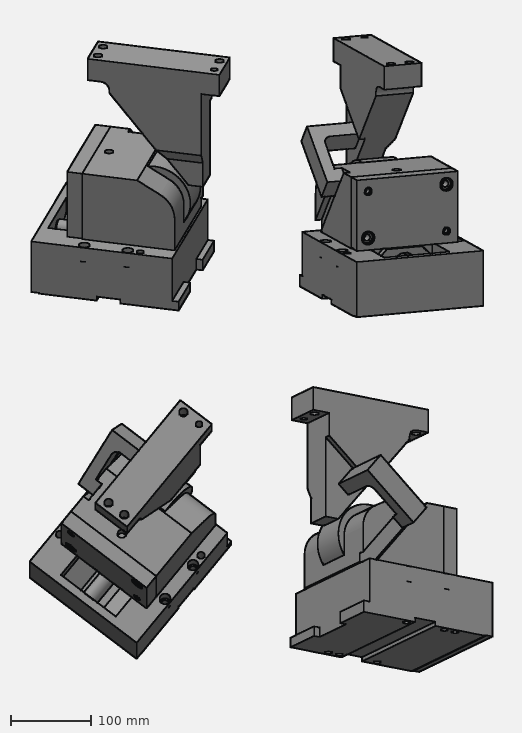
import cadquery as cq
import math

MID_Y = 84.97

BASE_LENGTH = 181.8
BASE_WIDTH = 2 * MID_Y
BASE_HEIGHT = 71.5
HEEL_RELIEF_LENGTH = 10.0
HEEL_RELIEF_HEIGHT = 1.0
KEYWAY_START = 84.5
KEYWAY_WIDTH = 30.0
KEYWAY_DEPTH = 5.5
LEDGE_LENGTH = 8.2
LEDGE_WIDTH = 54.7
LEDGE_NEAR_HEIGHT = 12.5
LEDGE_FAR_HEIGHT = 15.0

POCKET_START = 10.5
POCKET_END = 170.2
POCKET_WIDTH = 87.0
POCKET_FLOOR_WIDTH = 36.5
V_TOP_Z = 52.0
V_ANGLE = 33.0
V_FLOOR_Z = V_TOP_Z - (POCKET_WIDTH - POCKET_FLOOR_WIDTH) / 2 * math.tan(math.radians(V_ANGLE))

BASE_HOLE_INSET = 7.5
BASE_BOLT_X = (66.5, 122.5)
BASE_DOWEL_NEAR_X = 138.5
BASE_DOWEL_FAR_X = 50.8
BASE_BOLT_DIAMETER = 9.0
BASE_COUNTERBORE_DIAMETER = 13.7
BASE_COUNTERBORE_DEPTH = 20.0
BASE_DOWEL_DIAMETER = 9.0

SLIDE_START = 61.0
SLIDE_END = 180.3
SLIDE_WIDTH = 135.3
SLIDE_NEAR_Y = MID_Y - SLIDE_WIDTH / 2
SLIDE_FAR_Y = MID_Y + SLIDE_WIDTH / 2
SLIDE_BOTTOM = 74.2
SLIDE_TOP = 165.5
SLOPE_START = 132.0
SLOPE_ANGLE = 28.5
SHOULDER_RADIUS = 35.5
NECK_END = 169.0
NECK_WIDTH = 81.8
FOOT_START = 51.0
ROD_CLEARANCE_DIAMETER = 28.5
LUBE_HOLE_X = 77.5
LUBE_HOLE_DIAMETER = 10.5
LUBE_HOLE_DEPTH = 15.2

NOSE_RADIUS = 46.0
NOSE_X = 143.0
NOSE_Z = 119.2
NOSE_WIDTH = 48.0

ROD_RADIUS = 10.8
ROD_Z = 51.0
ROD_CHAMFER = 1.8
ROD_END = 106.5

PLATE_START = 41.5
PLATE_BOTTOM = 75.0
PLATE_HOLE_PITCH_Y = 105.0
PLATE_HOLE_LOW_Z = 90.3
PLATE_HOLE_HIGH_Z = 150.0
PLATE_MOUTH_DIAMETER = 16.7
PLATE_MOUTH_DEPTH = 1.8
PLATE_COUNTERBORE_DIAMETER = 14.3
PLATE_COUNTERBORE_DEPTH = 4.5
PLATE_BOLT_DIAMETER = 8.5
PLATE_DOWEL_DIAMETER = 9.7
PLATE_DOWEL_DEPTH = 3.0
PILOT_DIAMETER = 6.0
PILOT_DEPTH = 12.2
PILOT_TIP_ANGLE = 59.0

DRIVER_TOP = 304.0
DRIVER_START = 56.5
DRIVER_END = 226.5
DRIVER_WIDTH = 50.2
DRIVER_NEAR_Y = MID_Y - DRIVER_WIDTH / 2
DRIVER_FAR_Y = MID_Y + DRIVER_WIDTH / 2
FLANGE_BOTTOM = 274.2
WEB_START = 84.5
WEB_END = 203.0
DRIVER_BOTTOM = 141.0
WEB_FILLET = 10.5
TIP_WIDTH = 34.0
TIP_NEAR_Y = MID_Y - TIP_WIDTH / 2
TIP_FAR_Y = MID_Y + TIP_WIDTH / 2
TIP_TAPER_TOP = 188.5
TIP_TAPER_BOTTOM = 174.2
FLANGE_HOLE_NEAR_Y = 72.5
FLANGE_HOLE_FAR_Y = 97.3
FLANGE_HOLE_LEFT_X = 66.5
FLANGE_HOLE_RIGHT_X = 216.5
FLANGE_BOLT_DIAMETER = 10.5
FLANGE_DOWEL_DIAMETER = 8.2

DRIVE_ANGLE = 50.0
HOOK_X = 165.5
HOOK_Z = 209.5
HOOK_THICKNESS = 30.0
HOOK_LENGTH = 88.5
HOOK_BAR_DEPTH = 18.5
HOOK_ARM_NEAR_Y = 154.0
HOOK_LIP_NEAR_Y = 144.5
HOOK_LIP_LENGTH = 19.8
HOOK_FILLET = 10.0
HOOK_SEAT_CLEARANCE = 2.7
HOOK_END_CLEARANCE = 1.2
HOOK_SLOT_CLEARANCE = 0.5

CUT_LENGTH = 608.0

DRIVE_COS = math.cos(math.radians(DRIVE_ANGLE))
DRIVE_SIN = math.sin(math.radians(DRIVE_ANGLE))


def box(x0, x1, y0, y1, z0, z1):
    """Block between two opposite corners."""
    return cq.Workplane("XY").box(x1 - x0, y1 - y0, z1 - z0, centered=False).translate((x0, y0, z0))


def side_profile(points, y0, y1):
    """Outline in X and Z, extruded across Y."""
    return cq.Workplane("XZ").polyline(points).close().extrude(y0 - y1).translate((0, y0, 0))


def drill(x, y, z_top, diameter, depth):
    """Downward drill body."""
    return cq.Workplane("XY", origin=(x, y, z_top)).circle(diameter / 2).extrude(-depth)


def bore(x, y, z, diameter, depth):
    """Drill body that runs along +X."""
    return cq.Workplane("YZ", origin=(x, y, z)).circle(diameter / 2).extrude(depth)


def hook_plane(drop):
    """Plane square to the drive direction; its x runs down the hook arm and its y along Y."""
    return cq.Plane(
        origin=(HOOK_X + drop * DRIVE_COS, 0, HOOK_Z - drop * DRIVE_SIN),
        xDir=(-DRIVE_SIN, 0, -DRIVE_COS),
        normal=(DRIVE_COS, 0, -DRIVE_SIN),
    )


def guide_profile(x0, x1, width, top_z):
    """Straight-sided rail with a V underneath, extruded along X."""
    half = width / 2
    floor_half = POCKET_FLOOR_WIDTH / 2
    shoulder_z = V_FLOOR_Z + (half - floor_half) * math.tan(math.radians(V_ANGLE))
    return (
        cq.Workplane("YZ", origin=(x0, MID_Y, 0))
        .moveTo(-half, top_z)
        .lineTo(-half, shoulder_z)
        .lineTo(-floor_half, V_FLOOR_Z)
        .lineTo(floor_half, V_FLOOR_Z)
        .lineTo(half, shoulder_z)
        .lineTo(half, top_z)
        .close()
        .extrude(x1 - x0)
    )


def foot_tip():
    """Hexagonal end of the slide foot that reaches under the face plate."""
    half = POCKET_WIDTH / 2
    floor_half = POCKET_FLOOR_WIDTH / 2
    roof_half = half - (BASE_HEIGHT - V_TOP_Z)
    lower = [(-half, V_TOP_Z), (-floor_half, V_FLOOR_Z), (floor_half, V_FLOOR_Z), (half, V_TOP_Z)]
    upper = [(roof_half, BASE_HEIGHT), (-roof_half, BASE_HEIGHT)]
    length = SLIDE_START - FOOT_START
    tip = cq.Workplane("YZ", origin=(FOOT_START, MID_Y, 0)).polyline(lower + upper).close().extrude(length)
    return tip.cut(bore(FOOT_START, MID_Y, ROD_Z, ROD_CLEARANCE_DIAMETER, length))


def make_rod():
    rod = bore(POCKET_START, MID_Y, ROD_Z, 2 * ROD_RADIUS, ROD_END - POCKET_START)
    return rod.faces("<X").chamfer(ROD_CHAMFER)


def make_base():
    base = box(0, BASE_LENGTH, 0, BASE_WIDTH, 0, BASE_HEIGHT)
    ledge_end = BASE_LENGTH + LEDGE_LENGTH
    far_ledge_y = BASE_WIDTH - LEDGE_WIDTH
    base = base.union(box(BASE_LENGTH, ledge_end, 0, LEDGE_WIDTH, 0, LEDGE_NEAR_HEIGHT))
    base = base.union(box(BASE_LENGTH, ledge_end, far_ledge_y, BASE_WIDTH, 0, LEDGE_FAR_HEIGHT))
    base = base.cut(box(0, HEEL_RELIEF_LENGTH, 0, BASE_WIDTH, 0, HEEL_RELIEF_HEIGHT))
    base = base.cut(box(KEYWAY_START, KEYWAY_START + KEYWAY_WIDTH, 0, BASE_WIDTH, 0, KEYWAY_DEPTH))
    base = base.cut(guide_profile(POCKET_START, POCKET_END, POCKET_WIDTH, BASE_HEIGHT))

    near_y = BASE_HOLE_INSET
    far_y = BASE_WIDTH - BASE_HOLE_INSET
    for y in (near_y, far_y):
        for x in BASE_BOLT_X:
            base = base.cut(drill(x, y, BASE_HEIGHT, BASE_BOLT_DIAMETER, BASE_HEIGHT))
            base = base.cut(drill(x, y, BASE_HEIGHT, BASE_COUNTERBORE_DIAMETER, BASE_COUNTERBORE_DEPTH))
    for x, y in ((BASE_DOWEL_NEAR_X, near_y), (BASE_DOWEL_FAR_X, far_y)):
        base = base.cut(drill(x, y, BASE_HEIGHT, BASE_DOWEL_DIAMETER, BASE_HEIGHT))
    return base


def slide_block():
    """Block whose top slopes down into a rounded shoulder."""
    slope = math.radians(SLOPE_ANGLE)
    arc_x = SLIDE_END - SHOULDER_RADIUS
    slope_end_x = arc_x + SHOULDER_RADIUS * math.sin(slope)
    slope_end_z = SLIDE_TOP - (slope_end_x - SLOPE_START) * math.tan(slope)
    arc_z = slope_end_z - SHOULDER_RADIUS * math.cos(slope)
    mid_angle = (math.pi / 2 - slope) / 2
    arc_mid = (arc_x + SHOULDER_RADIUS * math.cos(mid_angle), arc_z + SHOULDER_RADIUS * math.sin(mid_angle))
    return (
        cq.Workplane("XZ", origin=(0, SLIDE_NEAR_Y, 0))
        .moveTo(SLIDE_START, SLIDE_BOTTOM)
        .lineTo(SLIDE_START, SLIDE_TOP)
        .lineTo(SLOPE_START, SLIDE_TOP)
        .lineTo(slope_end_x, slope_end_z)
        .threePointArc(arc_mid, (SLIDE_END, arc_z))
        .lineTo(SLIDE_END, SLIDE_BOTTOM)
        .close()
        .extrude(-SLIDE_WIDTH)
    )


def hook_slot():
    """Slot for the hook lip, parallel to the drive direction."""
    return (
        cq.Workplane(hook_plane(-CUT_LENGTH / 2))
        .moveTo(HOOK_LENGTH - HOOK_LIP_LENGTH, HOOK_LIP_NEAR_Y)
        .lineTo(HOOK_LENGTH + HOOK_SLOT_CLEARANCE, HOOK_LIP_NEAR_Y)
        .lineTo(HOOK_LENGTH + HOOK_SLOT_CLEARANCE, SLIDE_FAR_Y)
        .lineTo(HOOK_LENGTH - HOOK_LIP_LENGTH, SLIDE_FAR_Y)
        .close()
        .extrude(CUT_LENGTH)
    )


def plate_hole_places():
    """Y and Z of the bolt holes and of the dowel holes, on opposite diagonals."""
    near_y = MID_Y - PLATE_HOLE_PITCH_Y / 2
    far_y = MID_Y + PLATE_HOLE_PITCH_Y / 2
    bolts = ((near_y, PLATE_HOLE_HIGH_Z), (far_y, PLATE_HOLE_LOW_Z))
    dowels = ((near_y, PLATE_HOLE_LOW_Z), (far_y, PLATE_HOLE_HIGH_Z))
    return bolts, dowels


def make_slide(rod):
    slide = slide_block()
    nose = (
        cq.Workplane("XZ", origin=(NOSE_X, MID_Y, NOSE_Z))
        .circle(NOSE_RADIUS)
        .extrude(NOSE_WIDTH / 2, both=True)
    )
    slide = slide.cut(hook_slot()).union(nose)
    slide = slide.union(guide_profile(SLIDE_START, NECK_END, NECK_WIDTH, SLIDE_BOTTOM))
    slide = slide.union(foot_tip())
    slide = slide.cut(drill(LUBE_HOLE_X, MID_Y, SLIDE_TOP, LUBE_HOLE_DIAMETER, LUBE_HOLE_DEPTH))
    return slide.cut(rod)


def pilot_tip(y, z):
    """Conical bottom of a pilot hole."""
    radius = PILOT_DIAMETER / 2
    height = radius / math.tan(math.radians(PILOT_TIP_ANGLE))
    start = cq.Vector(PLATE_START + PILOT_DEPTH, y, z)
    return cq.Workplane(cq.Solid.makeCone(radius, 0, height, start, cq.Vector(1, 0, 0)))


def make_face_plate():
    plate = box(PLATE_START, SLIDE_START, SLIDE_NEAR_Y, SLIDE_FAR_Y, PLATE_BOTTOM, SLIDE_TOP)
    thickness = SLIDE_START - PLATE_START
    bolts, dowels = plate_hole_places()
    for y, z in bolts:
        plate = plate.cut(bore(PLATE_START, y, z, PLATE_BOLT_DIAMETER, thickness))
        plate = plate.cut(bore(PLATE_START, y, z, PLATE_COUNTERBORE_DIAMETER, PLATE_COUNTERBORE_DEPTH))
        plate = plate.cut(bore(PLATE_START, y, z, PLATE_MOUTH_DIAMETER, PLATE_MOUTH_DEPTH))
    for y, z in dowels:
        plate = plate.cut(bore(PLATE_START, y, z, PLATE_DOWEL_DIAMETER, PLATE_DOWEL_DEPTH))
        plate = plate.cut(bore(PLATE_START, y, z, PILOT_DIAMETER, PILOT_DEPTH)).cut(pilot_tip(y, z))
    return plate


def drive_face_x(z):
    """X of the driving face at a height; the face is tangent to the slide nose."""
    tangent_x = NOSE_X + NOSE_RADIUS * DRIVE_SIN
    tangent_z = NOSE_Z + NOSE_RADIUS * DRIVE_COS
    return tangent_x - (z - tangent_z) * DRIVE_COS / DRIVE_SIN


def make_driver():
    drive_top_z = DRIVER_BOTTOM + (drive_face_x(DRIVER_BOTTOM) - WEB_START) * DRIVE_SIN / DRIVE_COS
    web = [
        (WEB_START, FLANGE_BOTTOM),
        (WEB_START, drive_top_z),
        (drive_face_x(DRIVER_BOTTOM), DRIVER_BOTTOM),
        (WEB_END, DRIVER_BOTTOM),
        (WEB_END, FLANGE_BOTTOM),
    ]
    flange = [
        (DRIVER_END, FLANGE_BOTTOM),
        (DRIVER_END, DRIVER_TOP),
        (DRIVER_START, DRIVER_TOP),
        (DRIVER_START, FLANGE_BOTTOM),
    ]
    driver = side_profile(web + flange, DRIVER_NEAR_Y, DRIVER_FAR_Y)
    corner = cq.selectors.NearestToPointSelector((WEB_START, MID_Y, FLANGE_BOTTOM))
    driver = driver.edges(corner).fillet(WEB_FILLET)

    near_relief = (
        cq.Workplane("YZ")
        .moveTo(DRIVER_NEAR_Y, TIP_TAPER_TOP)
        .lineTo(TIP_NEAR_Y, TIP_TAPER_BOTTOM)
        .lineTo(TIP_NEAR_Y, DRIVER_BOTTOM)
        .lineTo(DRIVER_NEAR_Y, DRIVER_BOTTOM)
        .close()
        .extrude(CUT_LENGTH)
    )
    hook_seat = (
        cq.Workplane(hook_plane(-HOOK_SEAT_CLEARANCE))
        .rect(CUT_LENGTH, 2 * (DRIVER_FAR_Y - TIP_FAR_Y))
        .extrude(CUT_LENGTH)
        .translate((0, DRIVER_FAR_Y, 0))
    )
    driver = driver.cut(near_relief).cut(hook_seat)

    for y in (FLANGE_HOLE_NEAR_Y, FLANGE_HOLE_FAR_Y):
        for x in (FLANGE_HOLE_LEFT_X, FLANGE_HOLE_RIGHT_X):
            is_dowel = x == FLANGE_HOLE_RIGHT_X and y == FLANGE_HOLE_NEAR_Y
            diameter = FLANGE_DOWEL_DIAMETER if is_dowel else FLANGE_BOLT_DIAMETER
            driver = driver.cut(drill(x, y, DRIVER_TOP, diameter, DRIVER_TOP - FLANGE_BOTTOM))
    return driver


def make_return_hook():
    end_y = TIP_FAR_Y + HOOK_END_CLEARANCE
    return (
        cq.Workplane(hook_plane(0))
        .moveTo(0, end_y)
        .lineTo(0, BASE_WIDTH)
        .lineTo(HOOK_LENGTH, BASE_WIDTH)
        .lineTo(HOOK_LENGTH, HOOK_LIP_NEAR_Y)
        .lineTo(HOOK_LENGTH - HOOK_LIP_LENGTH, HOOK_LIP_NEAR_Y)
        .lineTo(HOOK_LENGTH - HOOK_LIP_LENGTH, HOOK_ARM_NEAR_Y)
        .lineTo(HOOK_BAR_DEPTH + HOOK_FILLET, HOOK_ARM_NEAR_Y)
        .radiusArc((HOOK_BAR_DEPTH, HOOK_ARM_NEAR_Y - HOOK_FILLET), -HOOK_FILLET)
        .lineTo(HOOK_BAR_DEPTH, end_y)
        .close()
        .extrude(HOOK_THICKNESS)
    )


base = make_base()
rod = make_rod()
slide = make_slide(rod)
face_plate = make_face_plate()
driver = make_driver()
return_hook = make_return_hook()

bodies = [base, rod, slide, face_plate, driver, return_hook]
result = cq.Compound.makeCompound([body.val() for body in bodies])